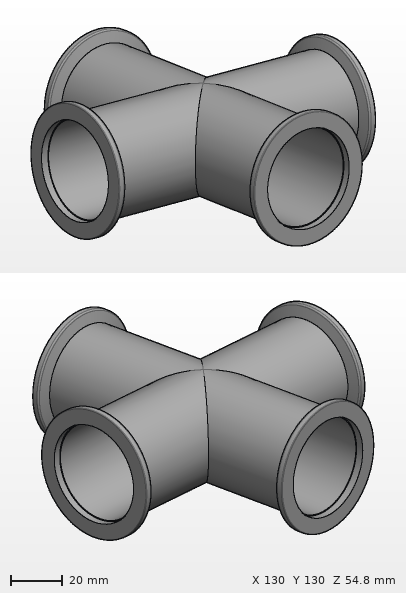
import cadquery as cq

span = 130.0
half_span = span / 2

tube_radius = 22.2
bore_radius = 20.3

flange_radius = 27.4
flange_thickness = 4.4
rim_thickness = 3.0
opening_radius = 20.7
tube_setback = 3.2
face_edge_radius = 0.3
back_edge_radius = 0.8

tube_length = span - 2 * tube_setback
arm_angles = (0, 90, 180, 270)


def crossing_rods(radius, length):
    """Two equal solid rods, along X and along Y, joined at the origin."""
    rod_x = cq.Workplane("YZ").circle(radius).extrude(length / 2, both=True)
    rod_y = cq.Workplane("XZ").circle(radius).extrude(length / 2, both=True)
    return rod_x.union(rod_y)


def make_cross_tube():
    """Four-way tube whose arm ends sit in the flange sockets."""
    return crossing_rods(tube_radius, tube_length).cut(crossing_rods(bore_radius, span))


def make_flange(angle):
    """Conical-backed clamp flange, socketed over the tube, on the arm at the given angle about Z."""
    back = half_span - flange_thickness
    cone_end = half_span - rim_thickness
    socket_floor = half_span - tube_setback
    flange = (
        cq.Workplane("XY")
        .moveTo(back, tube_radius)
        .lineTo(cone_end, flange_radius)
        .lineTo(half_span, flange_radius)
        .lineTo(half_span, opening_radius)
        .lineTo(socket_floor, opening_radius)
        .lineTo(socket_floor, tube_radius)
        .close()
        .revolve(360, (0, 0, 0), (1, 0, 0))
    )
    face_edge = cq.selectors.RadiusNthSelector(-1)
    flange = flange.faces(">X").edges(face_edge).fillet(face_edge_radius)
    back_edge = cq.selectors.BoxSelector(
        (cone_end - back_edge_radius / 2, -span, -span),
        (cone_end + back_edge_radius / 2, span, span),
        boundingbox=True,
    )
    flange = flange.edges(back_edge).edges(face_edge).fillet(back_edge_radius)
    return flange.rotate((0, 0, 0), (0, 0, 1), angle)


cross_tube = make_cross_tube()
flanges = [make_flange(angle) for angle in arm_angles]

result = cq.Compound.makeCompound([cross_tube.val(), *[flange.val() for flange in flanges]])